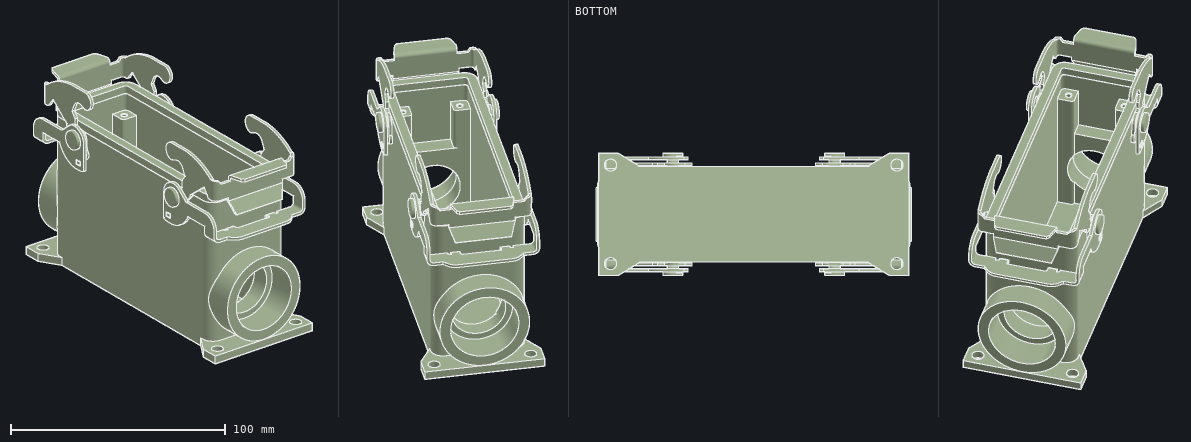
import cadquery as cq
import math

housing_length = 121.0
housing_width = 44.5
housing_height = 80.1
housing_corner_radius = 6.0
rim_height = 4.0
rim_step = 0.07
rim_bottom = housing_height - rim_height
mouth_length = 112.3
mouth_width = 35.9
mouth_corner_radius = 1.5
mouth_step = 0.07
cavity_length = mouth_length - 2 * mouth_step
cavity_width = mouth_width - 2 * mouth_step
cavity_corner_radius = 1.9
floor_thickness = 4.1

post_size = 8.0
post_top = 67.6
post_edge_radius = 1.5
post_hole_x = 52.0
post_hole_y = 13.5
post_hole_diameter = 2.5
post_hole_chamfer = 0.3
post_hole_depth = 14.7

port_end_x = 72.2
port_center_z = 25.5
port_radius = 21.3
port_bore_radius = 16.2
port_bore_depth = 14.7
port_passage_radius = 13.0
left_port_block_inner_x = 49.4
right_port_block_inner_x = cavity_length / 2 - post_size

foot_width = 57.0
foot_thickness = floor_thickness
foot_taper_start_x = 63.0
foot_inner_x = 52.9
foot_hole_x = 66.6
foot_hole_y = 23.0
foot_hole_diameter = 5.6

pivot_x = -37.6
pivot_z = 72.8
pin_radius = 2.6
pin_head_radius = 4.7
pin_head_edge = 0.5
pin_anchor_depth = 3.0
pin_end_y = foot_width / 2

sheet = 1.5

hook_outer_y = 24.0
hook_bar_x = -65.8
hook_bend_radius = 3.0
hook_top = 98.0
hook_tip_radius = 4.4
hook_tip_x = -33.0
hook_bar_bottom = 80.1
hook_bar_top = 88.3
hook_arm_front_top = 90.5

grip_end_x = -73.5
grip_top = 91.5
grip_bend_radius = 2.4
grip_half_width = 14.8
grip_shoulder_half_width = 13.4
grip_end_half_width = 12.2
grip_shoulder_x = -72.2
flap_half_width = 15.7
flap_end_half_width = 13.1
flap_bend_z = 78.3
flap_end_z = 70.8
flap_end_x = -69.0
flap_edge_x_offset = 1.3
flap_edge_z_offset = 0.7
flap_corner_radius = 1.2

lock_outer_y = 26.7
lock_eye_radius = 7.0
lock_bar_bottom = 60.4
lock_bend_radius = 3.2
lock_leg_x = -69.0
lock_leg_inner_x = -61.7
lock_arm_top = 73.8
lock_arm_bottom = 66.9
lock_plate_bottom = 58.2
lock_bar_end_x = -72.8
lock_bar_end_half_width = 12.6
lock_bar_shoulder_half_width = 19.1
slot_y = 14.7
slot_width = 1.8
slot_end_x = -63.2
notch_half_width = 9.7
notch_end_x = -64.4
notch_corner_radius = 0.9
spring_tab_bottom = 59.5
bump_x = -34.4
bump_z = 62.0
bump_length = 3.0
bump_height = 2.0
bump_rise = 0.5


def block(x1, x2, y1, y2, z1, z2):
    """Box between two opposite corners."""
    return cq.Workplane("XY").box(x2 - x1, y2 - y1, z2 - z1, centered=False).translate((x1, y1, z1))


def rounded_block(length, width, corner_radius, z1, z2):
    """Centred block from z1 to z2 with rounded vertical edges."""
    body = block(-length / 2, length / 2, -width / 2, width / 2, z1, z2)
    return body.edges("|Z").fillet(corner_radius)


def mirrored_y(body):
    """The body together with its mirror image across the XZ plane."""
    return body.union(body.mirror("XZ"))


def side_plate(profile, outer_y):
    """Sheet at the -Y side, cut from an XZ profile, with its outer face at -outer_y."""
    return profile.extrude(-sheet).translate((0, -outer_y, 0))


def along_x(radius, x1, x2):
    """Cylinder on the cable port axis."""
    return cq.Workplane("YZ").center(0, port_center_z).circle(radius).extrude(x2 - x1).translate((x1, 0, 0))


def along_y(radius, y1, y2):
    """Cylinder on the pivot axis."""
    disc = cq.Workplane("XZ").center(pivot_x, pivot_z).circle(radius)
    return disc.extrude(y1 - y2).translate((0, y1, 0))


def symmetric_prism(plane, half_outline, depth):
    """Prism centred on its plane whose outline is mirrored about the plane's second axis."""
    other_half = [(-u, v) for u, v in reversed(half_outline)]
    return cq.Workplane(plane).polyline(half_outline + other_half).close().extrude(depth, both=True)


def make_foot():
    """Foot plate at the -X end with two screw holes."""
    inner_y = housing_width / 2
    outer_y = foot_width / 2
    outline = [
        (-foot_inner_x, inner_y),
        (-foot_taper_start_x, outer_y),
        (-port_end_x, outer_y),
        (-port_end_x, -outer_y),
        (-foot_taper_start_x, -outer_y),
        (-foot_inner_x, -inner_y),
    ]
    foot = cq.Workplane("XY").polyline(outline).close().extrude(foot_thickness)
    holes = [(-foot_hole_x, -foot_hole_y), (-foot_hole_x, foot_hole_y)]
    hole_tools = cq.Workplane("XY").pushPoints(holes).circle(foot_hole_diameter / 2).extrude(foot_thickness)
    return foot.cut(hole_tools)


def make_cavity():
    """Open interior, leaving the corner posts and the thick wall behind the port."""
    half_length = cavity_length / 2
    half_width = cavity_width / 2
    cavity = rounded_block(cavity_length, cavity_width, cavity_corner_radius, floor_thickness, rim_bottom)
    for side in (-1, 1):
        for end in (-1, 1):
            post = cq.Workplane("XY").box(post_size, post_size, post_top, centered=(True, True, False))
            inner_edge = "<X" if side > 0 else ">X"
            inner_edge += " and " + ("<Y" if end > 0 else ">Y")
            post = post.edges("|Z").edges(inner_edge).fillet(post_edge_radius)
            post_center = (side * (half_length - post_size / 2), end * (half_width - post_size / 2), 0)
            cavity = cavity.cut(post.translate(post_center))
    wall_top = port_center_z + port_radius
    block_spans = [(-half_length, -left_port_block_inner_x), (right_port_block_inner_x, half_length)]
    for x1, x2 in block_spans:
        cavity = cavity.cut(block(x1, x2, -half_width, half_width, floor_thickness, wall_top))
    mouth = rounded_block(mouth_length, mouth_width, mouth_corner_radius, rim_bottom, housing_height)
    return cavity.union(mouth)


def make_housing():
    """Open box with feet, cable ports and holes in the screw posts."""
    shell = rounded_block(housing_length, housing_width, housing_corner_radius, 0, rim_bottom)
    rim_length = housing_length - 2 * rim_step
    rim_width = housing_width - 2 * rim_step
    rim_radius = housing_corner_radius - rim_step
    shell = shell.union(rounded_block(rim_length, rim_width, rim_radius, rim_bottom, housing_height))
    foot = make_foot()
    shell = shell.union(foot).union(foot.mirror("YZ"))
    shell = shell.union(along_x(port_radius, -port_end_x, -foot_inner_x))
    shell = shell.union(along_x(port_radius, foot_inner_x, port_end_x))
    shell = shell.cut(make_cavity())
    shell = shell.cut(along_x(port_passage_radius, -port_end_x, port_end_x))
    bore_bottom_x = port_end_x - port_bore_depth
    shell = shell.cut(along_x(port_bore_radius, -port_end_x, -bore_bottom_x))
    shell = shell.cut(along_x(port_bore_radius, bore_bottom_x, port_end_x))
    screw_holes = cq.Workplane("XY").workplane(offset=post_top)
    screw_holes = screw_holes.rect(2 * post_hole_x, 2 * post_hole_y, forConstruction=True).vertices()
    hole_radius = post_hole_diameter / 2
    shell = shell.cut(screw_holes.circle(hole_radius).extrude(-post_hole_depth))
    entry_radius = hole_radius + post_hole_chamfer
    cone = cq.Solid.makeCone(entry_radius, hole_radius, post_hole_chamfer, dir=cq.Vector(0, 0, -1))
    return shell.cut(screw_holes.eachpoint(cone.moved))


def make_hook_arm():
    """Side arm with the hook, the throat below it and a foot around the pivot."""
    bend_end_x = hook_bar_x + hook_bend_radius
    tip_z = hook_top - hook_tip_radius
    arm = (
        cq.Workplane("XZ")
        .moveTo(bend_end_x, hook_bar_bottom)
        .lineTo(bend_end_x, hook_arm_front_top)
        .threePointArc((-54.0, 95.7), (-44.1, hook_top))
        .lineTo(hook_tip_x, hook_top)
        .threePointArc((hook_tip_x + hook_tip_radius, tip_z), (hook_tip_x, tip_z - hook_tip_radius))
        .lineTo(-35.1, 90.0)
        .threePointArc((-38.7, 90.5), (-41.5, 88.2))
        .lineTo(-43.0, 84.5)
        .lineTo(-40.7, 81.4)
        .lineTo(-40.7, 77.9)
        .lineTo(pivot_x, pivot_z)
        .lineTo(-44.7, pivot_z)
        .lineTo(-47.2, 75.5)
        .lineTo(-47.0, 76.5)
        .lineTo(-57.6, 84.8)
        .lineTo(-60.3, 81.4)
        .threePointArc((-60.8, 80.5), (-61.7, hook_bar_bottom))
        .close()
    )
    pivot_foot = (
        cq.Workplane("XZ")
        .moveTo(-41.6, pivot_z)
        .lineTo(-41.5, 67.2)
        .threePointArc((-39.4, 63.8), (-35.0, 62.5))
        .threePointArc((-32.0, 65.4), (-33.2, 67.8))
        .lineTo(-33.7, pivot_z)
        .threePointArc((pivot_x, 76.7), (-41.6, pivot_z))
        .close()
    )
    return side_plate(arm, hook_outer_y).union(side_plate(pivot_foot, hook_outer_y))


def make_hook_bar():
    """Cross bar with rounded bends into both arms and a stepped top edge."""
    bend_end_x = hook_bar_x + hook_bend_radius
    channel_end_x = bend_end_x + hook_bend_radius
    bar = block(hook_bar_x, channel_end_x, -hook_outer_y, hook_outer_y, hook_bar_bottom, grip_top)
    bar = bar.edges("|Z and <X").fillet(hook_bend_radius)
    inner_y = hook_outer_y - sheet
    gap = block(hook_bar_x + sheet, channel_end_x, -inner_y, inner_y, hook_bar_bottom, grip_top)
    bar = bar.cut(gap.edges("|Z and <X").fillet(hook_bend_radius - sheet))
    bar = bar.intersect(block(hook_bar_x, bend_end_x, -hook_outer_y, hook_outer_y, 0, grip_top))
    half_outline = [
        (-hook_outer_y, hook_bar_bottom),
        (-hook_outer_y, hook_arm_front_top),
        (-21.2, 90.0),
        (-20.0, hook_bar_top),
    ]
    return bar.intersect(symmetric_prism("YZ", half_outline, -hook_bar_x))


def make_grip():
    """Thumb grip bent outward from the top of the cross bar."""
    inner_x = hook_bar_x + sheet
    inner_bend = grip_bend_radius - sheet
    bend_x = inner_x - grip_bend_radius
    bend_z = grip_top - grip_bend_radius

    def bend_middle(radius):
        reach = radius * math.sqrt(0.5)
        return (bend_x + reach, bend_z + reach)

    profile = (
        cq.Workplane("XZ")
        .moveTo(hook_bar_x, hook_bar_bottom)
        .lineTo(hook_bar_x, bend_z)
        .threePointArc(bend_middle(inner_bend), (bend_x, grip_top - sheet))
        .lineTo(grip_end_x, grip_top - sheet)
        .lineTo(grip_end_x, grip_top)
        .lineTo(bend_x, grip_top)
        .threePointArc(bend_middle(grip_bend_radius), (inner_x, bend_z))
        .lineTo(inner_x, hook_bar_bottom)
        .close()
    )
    outline = [
        (inner_x, grip_half_width),
        (bend_x, grip_half_width),
        (grip_shoulder_x, grip_shoulder_half_width),
        (grip_end_x, grip_end_half_width),
    ]
    outline += [(x, -y) for x, y in reversed(outline)]
    outline_prism = cq.Workplane("XY").polyline(outline).close().extrude(grip_top)
    return profile.extrude(grip_half_width, both=True).intersect(outline_prism)


def make_flap():
    """Tapered flap hanging from the cross bar and leaning outward."""
    inner_x = hook_bar_x + sheet
    profile = [
        (hook_bar_x, hook_bar_bottom),
        (hook_bar_x, flap_bend_z),
        (flap_end_x, flap_end_z + flap_edge_z_offset),
        (flap_end_x + flap_edge_x_offset, flap_end_z),
        (inner_x, flap_bend_z),
        (inner_x, hook_bar_bottom),
    ]
    flap = cq.Workplane("XZ").polyline(profile).close().extrude(flap_half_width, both=True)
    half_outline = [
        (-flap_end_half_width, flap_end_z),
        (-flap_half_width, flap_bend_z),
        (-flap_half_width, hook_bar_bottom),
    ]
    outline = symmetric_prism("YZ", half_outline, -grip_end_x)
    return flap.intersect(outline.edges("|X and <Z").fillet(flap_corner_radius))


def make_hook_lever():
    return mirrored_y(make_hook_arm()).union(make_hook_bar()).union(make_grip()).union(make_flap())


def make_lock_side():
    """Side plate of the locking lever: eye, arm and leg down to the bar bend."""
    eye_right_x = pivot_x + lock_eye_radius
    leg_bottom = lock_bar_bottom + lock_bend_radius
    profile = (
        cq.Workplane("XZ")
        .moveTo(lock_leg_x, leg_bottom)
        .lineTo(lock_leg_x, 66.7)
        .threePointArc((-67.0, 71.6), (-62.3, lock_arm_top))
        .lineTo(-47.5, lock_arm_top)
        .lineTo(-41.5, 78.8)
        .threePointArc((pivot_x, pivot_z + lock_eye_radius), (eye_right_x, pivot_z))
        .lineTo(eye_right_x, 59.0)
        .lineTo(-32.3, lock_plate_bottom)
        .lineTo(-37.3, lock_plate_bottom)
        .threePointArc((-44.4, 61.1), (-49.0, lock_arm_bottom))
        .lineTo(lock_leg_inner_x, lock_arm_bottom)
        .lineTo(lock_leg_inner_x, leg_bottom)
        .close()
    )
    plate = side_plate(profile, lock_outer_y)
    bump = block(
        bump_x - bump_length / 2,
        bump_x + bump_length / 2,
        -lock_outer_y - bump_rise,
        -lock_outer_y,
        bump_z - bump_height / 2,
        bump_z + bump_height / 2,
    )
    return plate.union(bump)


def make_lock_bar():
    """Cross bar below the flap, bent up into the legs and widened outward at the middle."""
    leg_bottom = lock_bar_bottom + lock_bend_radius
    channel_top = leg_bottom + sheet
    outer_y = lock_outer_y
    channel = block(lock_bar_end_x, lock_leg_inner_x, -outer_y, outer_y, lock_bar_bottom, channel_top)
    channel = channel.edges("|X and <Z").fillet(lock_bend_radius)
    inner_y = outer_y - sheet
    gap = block(lock_bar_end_x, lock_leg_inner_x, -inner_y, inner_y, lock_bar_bottom + sheet, channel_top)
    channel = channel.cut(gap.edges("|X and <Z").fillet(lock_bend_radius - sheet))
    swell_start = (lock_leg_x, lock_bar_shoulder_half_width)
    swell_end = (lock_bar_end_x, lock_bar_end_half_width)
    outline = (
        cq.Workplane("XY")
        .moveTo(lock_leg_inner_x, outer_y)
        .lineTo(lock_leg_x, outer_y)
        .lineTo(*swell_start)
        .spline([swell_end], tangents=[(-1, -1), (0, -1)], includeCurrent=True)
        .lineTo(lock_bar_end_x, -lock_bar_end_half_width)
        .spline(
            [(lock_leg_x, -lock_bar_shoulder_half_width)], tangents=[(0, -1), (1, -1)], includeCurrent=True
        )
        .lineTo(lock_leg_x, -outer_y)
        .lineTo(lock_leg_inner_x, -outer_y)
        .close()
        .extrude(leg_bottom)
    )
    notch = block(notch_end_x, lock_leg_inner_x, -notch_half_width, notch_half_width, 0, leg_bottom)
    bar = channel.intersect(outline).cut(notch.edges("|Z and <X").fillet(notch_corner_radius))
    slot_radius = slot_width / 2
    slot_center_x = slot_end_x + slot_radius
    tab_outer_y = slot_y - slot_radius
    for side in (-1, 1):
        slot = cq.Workplane("XY").center(slot_center_x, side * slot_y).circle(slot_radius).extrude(leg_bottom)
        slot_y1 = side * slot_y - slot_radius
        slot_y2 = side * slot_y + slot_radius
        slot = slot.union(block(slot_center_x, lock_leg_inner_x, slot_y1, slot_y2, 0, leg_bottom))
        bar = bar.cut(slot)
        y1, y2 = sorted((side * notch_half_width, side * tab_outer_y))
        tab_top = spring_tab_bottom + sheet
        bar = bar.union(block(lock_leg_inner_x, -housing_length / 2, y1, y2, spring_tab_bottom, tab_top))
    return bar


def make_lock_lever():
    return mirrored_y(make_lock_side()).union(make_lock_bar())


def make_pin():
    """Pivot pin anchored in the housing wall, with a softened flat head."""
    shank = along_y(pin_radius, -lock_outer_y, -housing_width / 2 + pin_anchor_depth)
    head = along_y(pin_head_radius, -pin_end_y, -lock_outer_y)
    return shank.union(head.faces("<Y").edges().fillet(pin_head_edge))


lever_set = make_hook_lever().union(make_lock_lever()).union(mirrored_y(make_pin()))
result = make_housing().union(lever_set).union(lever_set.mirror("YZ"))